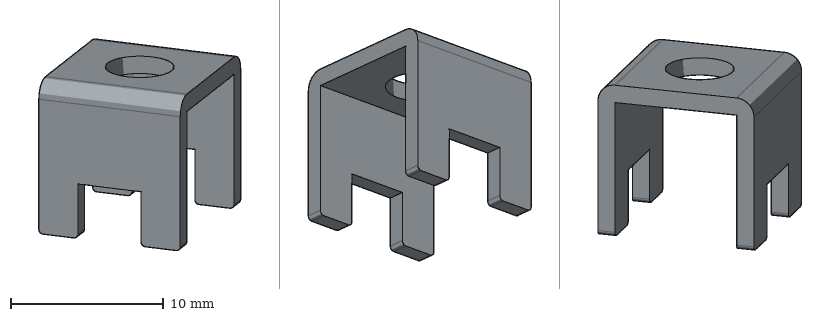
import cadquery as cq

width = 10.0
depth = 10.8
height = 10.5

thickness = 1.2

hole_diameter = 4.5
notch_width = 4.45
notch_height = 3.77
foot_radius = 0.3


def make_channel():
    """Inverted U of sheet metal standing on Z = 0, with rounded outer bends."""
    block = cq.Workplane("XY").box(width, depth, height, centered=(True, True, False))
    block = block.edges("|X and >Z").fillet(thickness)
    inside = cq.Workplane("XY").box(
        width, depth - 2 * thickness, height - thickness, centered=(True, True, False)
    )
    return block.cut(inside)


def cut_notches(body):
    """Cut the central notch through both side walls, leaving four legs."""
    notch = cq.Workplane("XY").box(notch_width, depth, notch_height, centered=(True, True, False))
    return body.cut(notch)


def round_feet(body):
    """Round both lower corners of every leg."""
    return body.faces("<Z").edges("|Y").fillet(foot_radius)


def drill_top(body):
    """Drill the hole through the centre of the top plate."""
    drill = cq.Workplane("XY").circle(hole_diameter / 2).extrude(height)
    return body.cut(drill)


result = drill_top(round_feet(cut_notches(make_channel())))